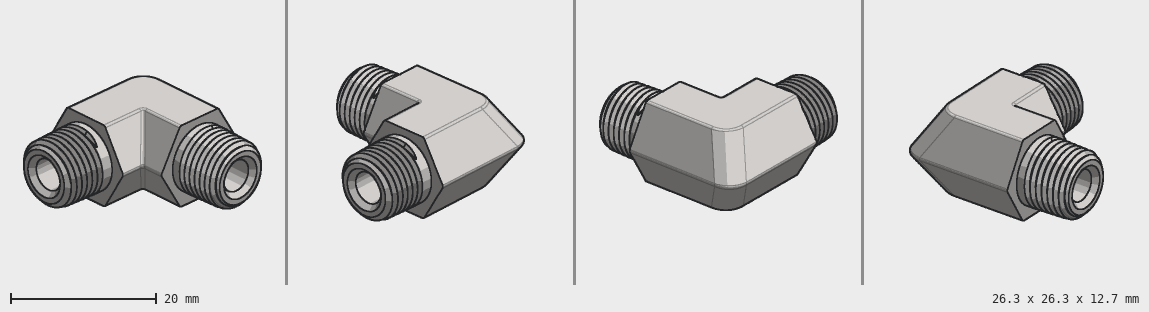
import cadquery as cq
import math

OVERALL = 26.3
ACROSS_FLATS = 12.7
EDGE_RADIUS = 0.47
ELBOW_RADIUS = 3.58
CROTCH_RADIUS = 0.47
SPIGOT_LENGTH = 8.05
SPIGOT_RADIUS = 5.13
PLAIN_LENGTH = 1.8
ROOT_OVERLAP = 0.25
TIP_RADIUS = 3.97
BORE_RADIUS = 2.37
MOUTH_RADIUS = 3.15
MOUTH_DEPTH = 0.85
PITCH = 0.96
THREAD_DEPTH = 0.68
FLANK_ANGLE = 30.0
CREST_LAND = 0.04
GROOVE_OVERSHOOT = 0.02
TAPER = 1 / 32
THREAD_TURNS = 8
RUNOUT_DISTANCE = 1.53
RUNOUT_OVERLAP = 0.08
RUNOUT_ANGLE = -74.0
SEAM_ANGLE = 90.0

flat_half = ACROSS_FLATS / 2
corner_half = flat_half / math.cos(math.radians(30))
rounded_corner_half = corner_half - EDGE_RADIUS * (1 / math.cos(math.radians(30)) - 1)
leg_reach = OVERALL - rounded_corner_half
hex_reach = leg_reach - SPIGOT_LENGTH
taper_length = SPIGOT_LENGTH - PLAIN_LENGTH
tip_blank_radius = SPIGOT_RADIUS - TAPER * taper_length
tip_chamfer = tip_blank_radius - TIP_RADIUS

leg_plane = cq.Plane(origin=(0, -leg_reach, 0), xDir=(1, 0, 0), normal=(0, 1, 0))


def second_leg(first):
    """Turn a -Y leg shape onto the +X leg."""
    return first.rotate((0, 0, 0), (0, 0, 1), 90)


def hexagon_leg():
    """Hexagonal bar along Y, cut off at the 45 degree mitre plane."""
    bar = (
        cq.Workplane("XZ", origin=(0, corner_half, 0))
        .polygon(6, 2 * corner_half)
        .extrude(hex_reach + corner_half)
    )
    mitre_side = (
        cq.Workplane("XY", origin=(0, 0, -flat_half))
        .polyline([(-OVERALL, OVERALL), (OVERALL, -OVERALL), (-OVERALL, -OVERALL)])
        .close()
        .extrude(ACROSS_FLATS)
    )
    return bar.intersect(mitre_side)


def fillet_mitre(half, direction, radius):
    """Round the sloping mitre edge of the upper half that runs along a direction."""
    return half.edges(cq.selectors.ParallelDirSelector(cq.Vector(*direction))).fillet(radius)


def elbow_body():
    """Two hexagon legs, rounded at the mitre edges and then along the bars."""
    leg = hexagon_leg()
    upper_space = cq.Workplane("XY").rect(2 * OVERALL, 2 * OVERALL).extrude(OVERALL)
    other_leg = leg.rotate((0, 0, 0), (1, -1, 0), 180)
    half = leg.union(other_leg).clean().intersect(upper_space)
    rise = math.sqrt(3)
    half = fillet_mitre(half, (1, -1, rise), ELBOW_RADIUS)
    half = fillet_mitre(half, (-1, 1, rise), CROTCH_RADIUS)
    body = half.union(half.mirror("XY"))

    end_margin = EDGE_RADIUS / 2
    level_edges = []
    for edge in body.edges().vals():
        box = edge.BoundingBox()
        is_level = box.zlen < end_margin
        on_end_face = box.ymax < end_margin - hex_reach or box.xmin > hex_reach - end_margin
        if is_level and not on_end_face:
            level_edges.append(edge)
    return body.newObject(level_edges).fillet(EDGE_RADIUS)


def spigot_blank():
    """Tapered round spigot with a chamfered end, rooted inside the hexagon."""
    return (
        cq.Workplane("XY", origin=(0, -leg_reach, 0))
        .polyline([
            (0, 0),
            (TIP_RADIUS, 0),
            (tip_blank_radius + TAPER * tip_chamfer, tip_chamfer),
            (SPIGOT_RADIUS, taper_length),
            (SPIGOT_RADIUS, SPIGOT_LENGTH + ROOT_OVERLAP),
            (0, SPIGOT_LENGTH + ROOT_OVERLAP),
        ])
        .close()
        .revolve(360, (0, 0), (0, 1))
        .rotate((0, 0, 0), (0, 1, 0), SEAM_ANGLE)
    )


def groove_profile(height):
    """Thread groove section centred at a height along the leg axis, and its root radius."""
    crest = SPIGOT_RADIUS - TAPER * (taper_length - height)
    root = crest - THREAD_DEPTH
    top = crest + GROOVE_OVERSHOOT
    flank_slope = math.tan(math.radians(FLANK_ANGLE))
    crest_half = (PITCH - CREST_LAND) / 2
    root_half = crest_half - THREAD_DEPTH * flank_slope
    top_half = crest_half + GROOVE_OVERSHOOT * flank_slope
    section = [
        (root, height - root_half),
        (top, height - top_half),
        (top, height + top_half),
        (root, height + root_half),
    ]
    return cq.Workplane("XZ").polyline(section).close(), root


def thread_cutters():
    """Tapered helical groove and the straight runout that ends it along a tangent."""
    end_height = SPIGOT_LENGTH - RUNOUT_DISTANCE
    start_height = end_height - THREAD_TURNS * PITCH
    profile, root = groove_profile(start_height)
    helix = cq.Wire.makeHelix(
        PITCH, THREAD_TURNS * PITCH, root, cq.Vector(0, 0, start_height),
        angle=math.degrees(math.atan(TAPER)),
    )
    groove = profile.sweep(cq.Workplane(obj=helix), isFrenet=True)
    end_profile = groove_profile(end_height)[0]
    runout = end_profile.extrude(-SPIGOT_RADIUS - RUNOUT_OVERLAP).translate((0, -RUNOUT_OVERLAP, 0))
    return [
        shape.rotate((0, 0, 0), (0, 0, 1), RUNOUT_ANGLE).val().moved(cq.Location(leg_plane))
        for shape in (groove, runout)
    ]


def bore():
    """Straight bore reaching the elbow centre with a countersunk mouth."""
    return (
        cq.Workplane("XY", origin=(0, -leg_reach, 0))
        .polyline([
            (0, 0),
            (MOUTH_RADIUS, 0),
            (BORE_RADIUS, MOUTH_DEPTH),
            (BORE_RADIUS, leg_reach),
            (0, leg_reach),
        ])
        .close()
        .revolve(360, (0, 0), (0, 1))
    )


spigot = spigot_blank()
for cutter in thread_cutters():
    spigot = spigot.cut(cq.Workplane(obj=cutter))

elbow_ball = cq.Workplane("XY").sphere(BORE_RADIUS)

result = elbow_body().union(spigot).union(second_leg(spigot))
result = result.cut(bore()).cut(second_leg(bore())).cut(elbow_ball)